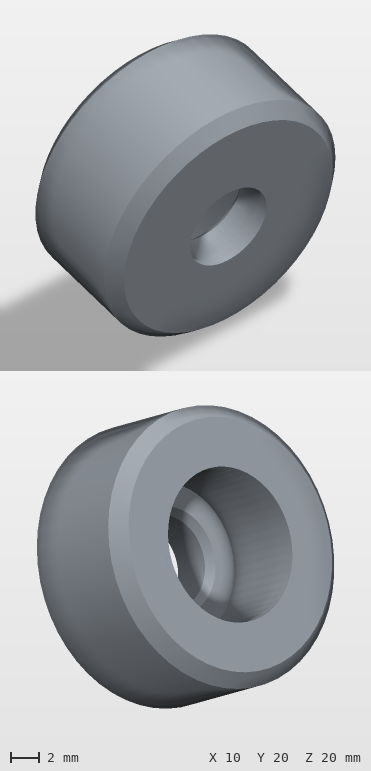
import cadquery as cq

width = 10.0
outer_diameter = 20.0
rim_chamfer = 1.0
counterbore_diameter = 11.0
counterbore_depth = 6.5
bore_diameter = 6.6
bore_chamfer = 0.52


def make_roller_body():
    """Cylinder along X, with both outer rims chamfered."""
    body = cq.Workplane("YZ").circle(outer_diameter / 2).extrude(width)
    return body.faces("<X or >X").edges().chamfer(rim_chamfer)


def cut_stepped_bore(body):
    """Through bore with a counterbore entering from the -X face."""
    body = body.cut(cq.Workplane("YZ").circle(bore_diameter / 2).extrude(width))
    return body.cut(cq.Workplane("YZ").circle(counterbore_diameter / 2).extrude(counterbore_depth))


def cut_bore_lead_in(body):
    """45 degree lead-in where the bore meets the counterbore floor."""
    bore_radius = bore_diameter / 2
    cone = cq.Solid.makeCone(
        bore_radius + bore_chamfer,
        bore_radius,
        bore_chamfer,
        pnt=cq.Vector(counterbore_depth, 0, 0),
        dir=cq.Vector(1, 0, 0),
    )
    return body.cut(cq.Workplane(cone))


result = cut_bore_lead_in(cut_stepped_bore(make_roller_body()))
result = result.translate((-width / 2, 0, 0))